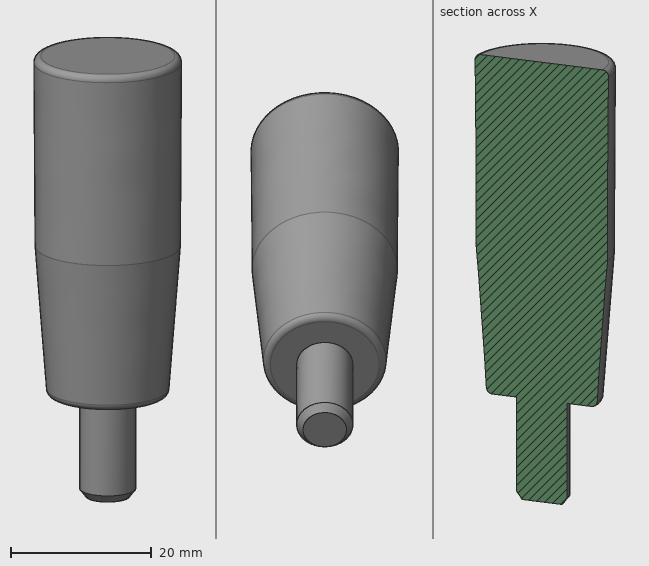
import cadquery as cq

total_length = 65.0
grip_length = 50.0
stud_length = total_length - grip_length

top_diameter = 21.0
seam_diameter = 20.7
base_diameter = 17.3
upper_length = 28.0
edge_radius = 1.0

stud_diameter = 8.0
tip_diameter = 6.2
tip_length = 1.2


def make_grip():
    """Revolved grip with rounded top and bottom rims."""
    seam_z = total_length - upper_length
    profile = (
        cq.Workplane("XZ")
        .moveTo(0, stud_length)
        .lineTo(base_diameter / 2, stud_length)
        .lineTo(seam_diameter / 2, seam_z)
        .lineTo(top_diameter / 2, total_length)
        .lineTo(0, total_length)
        .close()
    )
    grip = profile.revolve(360, (0, 0, 0), (0, 1, 0))
    return grip.faces("<Z or >Z").edges().fillet(edge_radius)


def make_stud():
    """Cylindrical stud, conical at its lower tip."""
    profile = (
        cq.Workplane("XZ")
        .lineTo(tip_diameter / 2, 0)
        .lineTo(stud_diameter / 2, tip_length)
        .lineTo(stud_diameter / 2, stud_length)
        .lineTo(0, stud_length)
        .close()
    )
    return profile.revolve(360, (0, 0, 0), (0, 1, 0))


result = make_grip().union(make_stud())